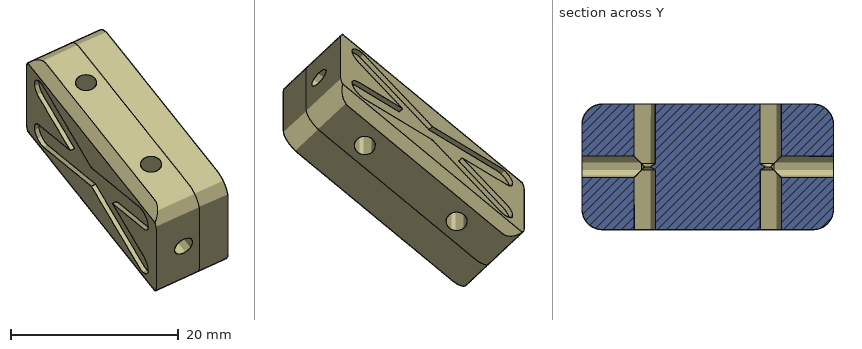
import cadquery as cq
import math

LENGTH = 30.0
HEIGHT = 15.0
CORNER_RADIUS = 2.5
HOUSING_DEPTH = 6.0
COVER_DEPTH = 4.0
FRONT_CHAMFER = 1.25

GROOVE_END_X = 11.52
GROOVE_END_Z = 4.0
GROOVE_WIDTH = 3.18
GROOVE_DEPTH = 0.6

HOLE_DIAMETER = 2.5
HOLE_DEPTH = 7.1
DRILL_POINT_ANGLE = 118.0
HOLE_Y = 3.78
HOLE_X = LENGTH / 4


def rounded_block(front_y, depth):
    """Block with rounded corners in XZ, running back from front_y."""
    return (
        cq.Workplane("XZ", origin=(0, front_y, 0))
        .rect(LENGTH, HEIGHT)
        .extrude(-depth)
        .edges("|Y")
        .fillet(CORNER_RADIUS)
    )


def chamfer_wedge(side):
    """Triangular bar that bevels the top (+1) or bottom (-1) front edge."""
    edge_z = side * HEIGHT / 2
    return (
        cq.Workplane("YZ", origin=(-LENGTH / 2, 0, 0))
        .moveTo(0, edge_z)
        .lineTo(FRONT_CHAMFER, edge_z)
        .lineTo(0, edge_z - side * FRONT_CHAMFER)
        .close()
        .extrude(LENGTH)
    )


def groove(side):
    """Round-ended bar across the front face, rising (+1) or falling (-1)."""
    span = 2 * math.hypot(GROOVE_END_X, GROOVE_END_Z)
    slope = math.degrees(math.atan2(GROOVE_END_Z, GROOVE_END_X))
    return (
        cq.Workplane("XZ")
        .slot2D(span + GROOVE_WIDTH, GROOVE_WIDTH, side * slope)
        .extrude(-GROOVE_DEPTH)
    )


def drilled_hole(mouth, direction):
    """Cylinder with a conical drill point, starting at the mouth."""
    radius = HOLE_DIAMETER / 2
    point_length = radius / math.tan(math.radians(DRILL_POINT_ANGLE / 2))
    start = cq.Vector(*mouth)
    axis = cq.Vector(*direction)
    bore = cq.Solid.makeCylinder(radius, HOLE_DEPTH, start, axis)
    point = cq.Solid.makeCone(radius, 0, point_length, start + axis * HOLE_DEPTH, axis)
    return bore.fuse(point)


def make_housing():
    body = rounded_block(0, HOUSING_DEPTH)
    for side in (1, -1):
        body = body.cut(chamfer_wedge(side)).cut(groove(side))
    for x_side in (1, -1):
        end_mouth = (x_side * LENGTH / 2, HOLE_Y, 0)
        body = body.cut(drilled_hole(end_mouth, (-x_side, 0, 0)))
        for z_side in (1, -1):
            mouth = (x_side * HOLE_X, HOLE_Y, z_side * HEIGHT / 2)
            body = body.cut(drilled_hole(mouth, (0, 0, -z_side)))
    return body


def make_cover():
    return rounded_block(HOUSING_DEPTH, COVER_DEPTH)


housing = make_housing()
cover = make_cover()
result = cq.Compound.makeCompound([housing.val(), cover.val()])